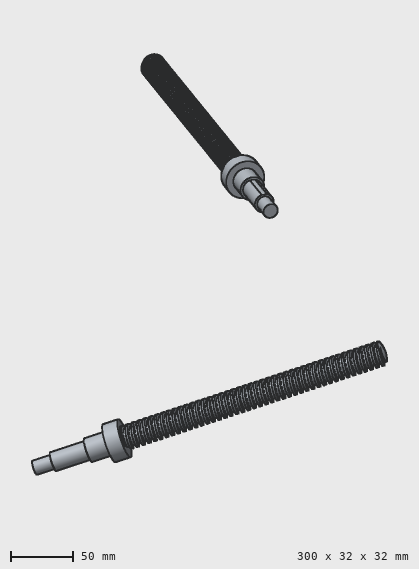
import cadquery as cq
import math

total_length = 300.0
collar_width = 13.0
shoulder_length = 18.0
journal_length = 30.0
tip_length = 16.0
thread_length = total_length - collar_width - shoulder_length - journal_length - tip_length

collar_diameter = 32.0
thread_diameter = 20.0
shoulder_diameter = thread_diameter
journal_diameter = 16.0
tip_diameter = 12.0

flat_width = 4.5

pitch = 15 / 3
groove_depth = 2.5
flank_angle = 15.0
start_angle = 18.0

turns_per_length = 5
stacked_lengths = math.ceil(thread_length / (turns_per_length * pitch))

dome_radius = 21.0


def thread_section():
    """Cross-section of the thread: a root arc and a crest arc joined by two spiral flanks."""
    crest_radius = thread_diameter / 2
    root_radius = crest_radius - groove_depth
    pitch_radius = (crest_radius + root_radius) / 2
    taper = math.tan(math.radians(flank_angle))

    def groove_edge(radius, side):
        half_width = pitch / 4 + (radius - pitch_radius) * taper
        half_angle = 2 * math.pi * half_width / pitch
        return (radius * math.cos(half_angle), side * radius * math.sin(half_angle))

    return (
        cq.Workplane("YZ")
        .moveTo(*groove_edge(root_radius, -1))
        .threePointArc((root_radius, 0), groove_edge(root_radius, 1))
        .threePointArc(groove_edge(pitch_radius, 1), groove_edge(crest_radius, 1))
        .threePointArc((-crest_radius, 0), groove_edge(crest_radius, -1))
        .threePointArc(groove_edge(pitch_radius, -1), groove_edge(root_radius, -1))
        .close()
    )


def threaded_rod():
    length = turns_per_length * pitch
    twisted = thread_section().twistExtrude(length, -360 * turns_per_length)
    twisted = twisted.rotate((0, 0, 0), (1, 0, 0), start_angle)

    ball = cq.Workplane("YZ").sphere(dome_radius).translate((dome_radius, 0, 0))
    rod = twisted.intersect(ball)
    for index in range(1, stacked_lengths):
        rod = rod.union(twisted.translate((index * length, 0, 0)))
    return rod


def plain_shaft():
    """Collar, shoulder, journal and tip, turned about the X axis."""
    steps = [
        (collar_width, collar_diameter),
        (shoulder_length, shoulder_diameter),
        (journal_length, journal_diameter),
        (tip_length, tip_diameter),
    ]
    start = thread_length
    outline = cq.Workplane("XZ").moveTo(start, 0)
    for length, diameter in steps:
        outline = outline.lineTo(start, diameter / 2).lineTo(start + length, diameter / 2)
        start += length
    return outline.lineTo(start, 0).close().revolve(360, (0, 0, 0), (1, 0, 0))


def above_journal_flat():
    journal_start = thread_length + collar_width + shoulder_length
    radius = journal_diameter / 2
    flat_height = math.sqrt(radius**2 - (flat_width / 2) ** 2)
    block = cq.Workplane("XY").box(
        journal_length, journal_diameter, radius, centered=(False, True, False)
    )
    return block.translate((journal_start, 0, flat_height))


result = plain_shaft().cut(above_journal_flat()).union(threaded_rod())